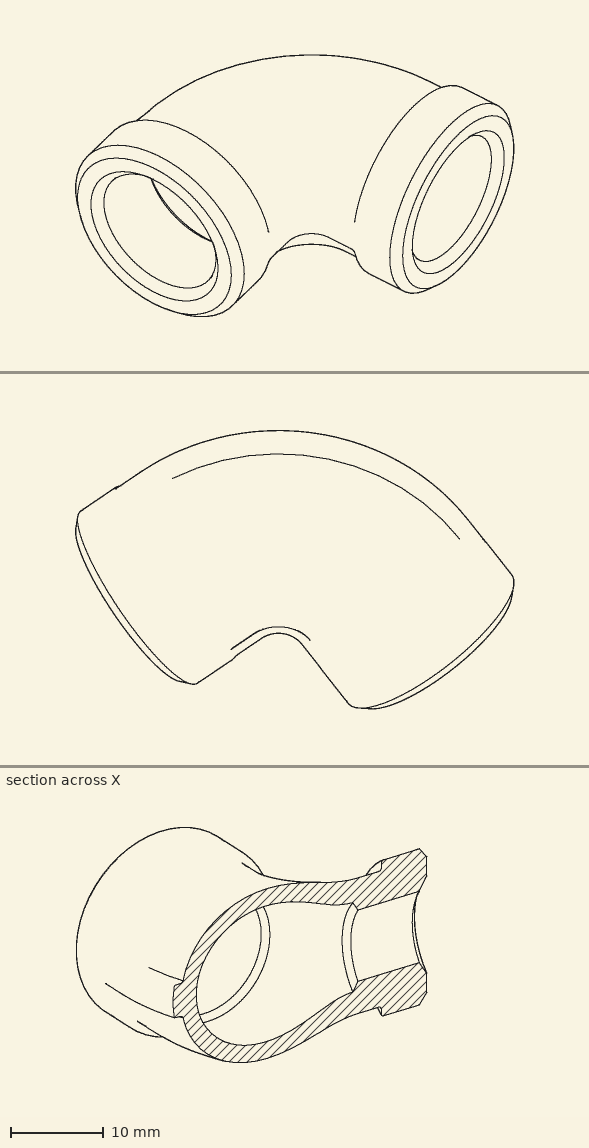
import cadquery as cq
import math

port_reach = 23.5
inner_rib_radius = 3.0
collar_radius = 22.5 / 2
relief_depth = 1.0
collar_length = 6.0
collar_chamfer = 1.0
rib_width = 4.0
blend_radius = 0.3
bore_radius = 14.95 / 2
mouth_chamfer = 1.0
passage_radius = 8.15
passage_bend_radius = 13.75
cut_clearance = 0.5

tube_radius = collar_radius - relief_depth
bend_radius = inner_rib_radius + collar_radius
collar_back = port_reach - collar_length
half_rib = rib_width / 2
passage_step = passage_radius - bore_radius
bore_end = passage_bend_radius + passage_step


def section_plane(start):
    """Plane across the -Y port axis, at the given distance from the origin."""
    return cq.Workplane("XZ", origin=(0, -start, 0))


def swept_elbow(profile, start):
    """Sweep a profile drawn on Y = -start around the bend to X = start."""
    path = (
        cq.Workplane("XY")
        .moveTo(0, -start)
        .lineTo(0, -bend_radius)
        .radiusArc((bend_radius, 0), bend_radius)
        .lineTo(start, 0)
    )
    return profile.sweep(path)


def across_bend(solid):
    """Turn a solid on the -Y port over onto the +X port."""
    return solid.rotate((0, 0, 0), (1, -1, 0), 180)


def upper_relief():
    """Crescent cutter that lowers the upper side between the ribs and the collars."""
    cutter_radius = collar_radius + cut_clearance
    inner_x = math.sqrt(tube_radius**2 - half_rib**2)
    outer_x = math.sqrt(cutter_radius**2 - half_rib**2)
    crescent = (
        section_plane(collar_back)
        .moveTo(inner_x, half_rib)
        .lineTo(outer_x, half_rib)
        .threePointArc((0, cutter_radius), (-outer_x, half_rib))
        .lineTo(-inner_x, half_rib)
        .threePointArc((0, tube_radius), (inner_x, half_rib))
        .close()
    )
    return swept_elbow(crescent, collar_back)


def is_relief_wall(face):
    """True for the flat rib sides and collar backs, false for the port faces."""
    center = face.Center()
    is_rib_side = abs(face.normalAt().z) > 0.9
    is_inside_ports = max(abs(center.x), abs(center.y)) < port_reach - collar_chamfer
    return is_rib_side or is_inside_ports


def blend_relief_walls(body):
    """Round the roots, crests and corners of the rib sides and collar backs."""
    edges = []
    for face in body.faces("%PLANE").vals():
        if not is_relief_wall(face):
            continue
        for edge in face.Edges():
            if not any(edge.isSame(other) for other in edges):
                edges.append(edge)
    return cq.Workplane(body.val().fillet(blend_radius, edges))


def outer_body():
    """Elbow at collar size with its tube relieved, leaving collars and two ribs."""
    blank = swept_elbow(section_plane(port_reach).circle(collar_radius), port_reach)
    blank = blank.faces("<Y or >X").chamfer(collar_chamfer)
    relief = upper_relief()
    body = blank.cut(relief).cut(relief.mirror("XY"))
    return blend_relief_walls(body)


def port_bore():
    """Bore of the -Y port: mouth chamfer, straight bore, then a flare to the passage."""
    return (
        cq.Workplane("XY")
        .moveTo(0, -port_reach)
        .lineTo(bore_radius + mouth_chamfer, -port_reach)
        .lineTo(bore_radius, -port_reach + mouth_chamfer)
        .lineTo(bore_radius, -bore_end)
        .lineTo(passage_radius, -passage_bend_radius)
        .lineTo(0, -passage_bend_radius)
        .close()
        .revolve(360, (0, 0), (0, 1))
    )


def bend_passage():
    """Quarter-torus passage that joins the two port bores."""
    return (
        section_plane(passage_bend_radius)
        .circle(passage_radius)
        .revolve(90, (passage_bend_radius, 1), (passage_bend_radius, 0))
    )


bore = port_bore()
result = outer_body().cut(bend_passage()).cut(bore).cut(across_bend(bore))